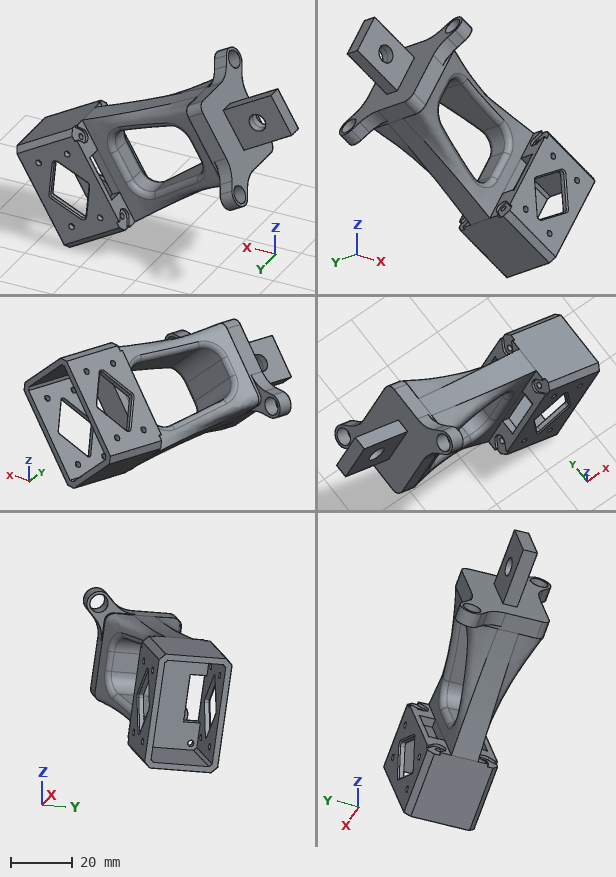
import cadquery as cq
import math

TILT = 30

TONGUE_LENGTH = 20.0
TONGUE_HEIGHT = 15.0
TONGUE_THICKNESS = 5.0
TONGUE_HOLE_DIAMETER = 6.0

PLATE_WIDTH = 25.75
PLATE_HEIGHT = 29.7
PLATE_CORNER_RADIUS = 3.0
PLATE_THICKNESS = 6.0
EAR_THICKNESS = 5.0
EAR_RADIUS = 4.0
EAR_HOLE_DIAMETER = 6.0
EAR_OFFSET_Y = 15.4
EAR_OFFSET_Z = 17.5
EAR_BLEND_RADIUS = 10.0

ARM_LENGTH = 45.0
RIDGE_WIDTH_START = 7.3
RIDGE_WIDTH_END = 9.4
ARM_SECTIONS = 6
FLANK_EXPONENT = 1.8
RIDGE_EXPONENT = 1.5
FLANK_STRAIGHT_SHARE = 0.9
ARM_END_SHOULDER_DROP = 2.9
ARM_END_FLANK_DROP = 6.7

OPENING_OFFSET = 5.3
OPENING_LENGTH = 33.8
OPENING_HEIGHT_START = 17.4
OPENING_HEIGHT_END = 24.3
OPENING_CORNER_RADIUS = 6.0
OPENING_RIM_RADIUS = 1.9

BOX_LENGTH = 24.1
BOX_WIDTH = 24.6
BOX_HEIGHT = 38.3
BOX_WALL = 2.0
BOX_FRONT_WALL = 3.0
BOX_CHAMFER = 2.0
CAVITY_CHAMFER = 1.0
WINDOW_HEIGHT = 15.9

SIDE_HOLE_DIAMETER = 2.0
SIDE_HOLE_SPACING_U = 12.0
SIDE_HOLE_SPACING_Z = 23.9
DIAMOND_LENGTH = 16.1
DIAMOND_HEIGHT = 22.6
DIAMOND_CORNER_RADIUS = 1.0
DIAMOND_CHAMFER = 0.5

SEAT_INSET = 4.2
SEAT_RADIUS = 2.3
SEAT_DEPTH = 1.0
SEAT_NOTCH = 3.9
SEAT_HOLE_DIAMETER = 2.0

PLATE_START = TONGUE_LENGTH
ARM_START = PLATE_START + PLATE_THICKNESS
BOX_START = ARM_START + ARM_LENGTH
BOX_CENTRE = BOX_START + BOX_LENGTH / 2
CAVITY_WIDTH = BOX_WIDTH - 2 * BOX_WALL
CAVITY_HEIGHT = BOX_HEIGHT - 2 * BOX_WALL
ARC_MIDDLE_INSET = 1 - math.sqrt(0.5)


def cross_plane(u):
    """Workplane across the length at u: local x is Y, local y is Z, normal is +U."""
    return cq.Workplane("YZ", origin=(u, 0, 0))


def side_plane(u):
    """Workplane on the mid-plane at u: local x is U, local y is Z, normal is -Y."""
    return cq.Workplane("XZ", origin=(u, 0, 0))


def make_tongue():
    """Flat tongue with a cross hole at its middle."""
    tongue = cq.Workplane("XY").box(
        TONGUE_LENGTH, TONGUE_THICKNESS, TONGUE_HEIGHT, centered=(False, True, True)
    )
    hole = side_plane(TONGUE_LENGTH / 2).circle(TONGUE_HOLE_DIAMETER / 2)
    return tongue.cut(hole.extrude(TONGUE_THICKNESS, both=True))


def make_plate():
    """Rounded plate with two drilled ears at opposite corners, slightly thinner than the plate."""
    pad = cross_plane(PLATE_START).rect(PLATE_WIDTH, PLATE_HEIGHT).extrude(PLATE_THICKNESS)
    pad = pad.edges("|X").fillet(PLATE_CORNER_RADIUS)

    flange = cross_plane(PLATE_START).rect(PLATE_WIDTH, PLATE_HEIGHT).extrude(EAR_THICKNESS)
    strip_length = EAR_OFFSET_Y * math.sqrt(2)
    for side in (1, -1):
        ear_plane = cross_plane(PLATE_START).center(side * EAR_OFFSET_Y, -side * EAR_OFFSET_Z)
        strip = (
            ear_plane.transformed(rotate=(0, 0, -45))
            .center(-side * strip_length / 2, 0)
            .rect(strip_length, 2 * EAR_RADIUS)
            .extrude(EAR_THICKNESS)
        )
        flange = flange.union(strip).union(ear_plane.circle(EAR_RADIUS).extrude(EAR_THICKNESS))

    strip_reach = EAR_RADIUS * math.sqrt(2)
    diagonal = EAR_OFFSET_Z - EAR_OFFSET_Y
    top_y = PLATE_HEIGHT / 2 - diagonal - strip_reach
    side_z = PLATE_WIDTH / 2 + diagonal - strip_reach
    mid_u = PLATE_START + EAR_THICKNESS / 2
    for side in (1, -1):
        for y, z in ((top_y, -PLATE_HEIGHT / 2), (PLATE_WIDTH / 2, -side_z)):
            edge = cq.selectors.NearestToPointSelector((mid_u, side * y, side * z))
            flange = flange.edges("|X").edges(edge).fillet(EAR_BLEND_RADIUS)

    for side in (1, -1):
        corner = (mid_u, side * PLATE_WIDTH / 2, side * PLATE_HEIGHT / 2)
        edge = cq.selectors.NearestToPointSelector(corner)
        flange = flange.edges("|X").edges(edge).fillet(PLATE_CORNER_RADIUS)

    holes = (
        cross_plane(PLATE_START)
        .pushPoints([(side * EAR_OFFSET_Y, -side * EAR_OFFSET_Z) for side in (1, -1)])
        .circle(EAR_HOLE_DIAMETER / 2)
        .extrude(EAR_THICKNESS)
    )
    return flange.union(pad).cut(holes)


def blend(start, end, fraction):
    """Value at a fraction of the way from start to end."""
    return start + (end - start) * fraction


def arm_section(t):
    """Arm section at fraction t of the arm: flat ridges joined by curved flanks."""
    ridge_y = blend(RIDGE_WIDTH_START, RIDGE_WIDTH_END, t) / 2
    ridge_z = blend(PLATE_HEIGHT, BOX_HEIGHT, t ** RIDGE_EXPONENT) / 2
    narrowing = 1 - (1 - t) ** FLANK_EXPONENT
    flank_y = blend(PLATE_WIDTH, RIDGE_WIDTH_END, narrowing) / 2
    flank_z = ridge_z - blend(PLATE_CORNER_RADIUS, ARM_END_FLANK_DROP, t)
    shoulder_y = blend(PLATE_WIDTH / 2 - PLATE_CORNER_RADIUS, RIDGE_WIDTH_END / 2, narrowing)
    shoulder_z = ridge_z - blend(0, ARM_END_SHOULDER_DROP, t)
    upper_flank = [
        ((ridge_y + shoulder_y) / 2, (ridge_z + shoulder_z) / 2),
        (shoulder_y, shoulder_z),
        (
            blend(flank_y, shoulder_y, ARC_MIDDLE_INSET),
            blend(shoulder_z, flank_z, ARC_MIDDLE_INSET),
        ),
        (flank_y, flank_z),
        (flank_y, FLANK_STRAIGHT_SHARE * flank_z),
        (flank_y, flank_z / 2),
    ]
    lower_flank = [(y, -z) for y, z in reversed(upper_flank)]
    flank = upper_flank + [(flank_y, 0)] + lower_flank
    return (
        cross_plane(ARM_START + t * ARM_LENGTH)
        .moveTo(-ridge_y, ridge_z)
        .lineTo(ridge_y, ridge_z)
        .spline(flank + [(ridge_y, -ridge_z)], includeCurrent=True)
        .lineTo(-ridge_y, -ridge_z)
        .spline([(-y, z) for y, z in reversed(flank)] + [(-ridge_y, ridge_z)], includeCurrent=True)
        .wire()
        .val()
    )


def make_arm():
    """Tapering arm with a trapezoidal opening whose rims are rounded."""
    stations = [index / (ARM_SECTIONS - 1) for index in range(ARM_SECTIONS)]
    arm = cq.Workplane(cq.Solid.makeLoft([arm_section(t) for t in stations]))

    start = OPENING_OFFSET
    end = start + OPENING_LENGTH
    opening = (
        side_plane(ARM_START)
        .moveTo(start, -OPENING_HEIGHT_START / 2)
        .lineTo(end, -OPENING_HEIGHT_END / 2)
        .lineTo(end, OPENING_HEIGHT_END / 2)
        .lineTo(start, OPENING_HEIGHT_START / 2)
        .close()
        .extrude(PLATE_WIDTH, both=True)
        .edges("|Y")
        .fillet(OPENING_CORNER_RADIUS)
    )
    pierced = arm.cut(opening)
    rim_margin = start / 2
    rim_zone = cq.selectors.BoxSelector(
        (ARM_START + rim_margin, -PLATE_WIDTH, -OPENING_HEIGHT_END / 2),
        (BOX_START - rim_margin, PLATE_WIDTH, OPENING_HEIGHT_END / 2),
    )
    corner_lines = cq.selectors.ParallelDirSelector(cq.Vector(0, 1, 0))
    return pierced.edges(rim_zone - corner_lines).fillet(OPENING_RIM_RADIUS)


def make_box():
    """Chamfered box, open at the far end, with its windows, holes and screw seats."""
    box = cross_plane(BOX_START).rect(BOX_WIDTH, BOX_HEIGHT).extrude(BOX_LENGTH)
    box = box.edges("|X").chamfer(BOX_CHAMFER)
    cavity = (
        cross_plane(BOX_START + BOX_FRONT_WALL)
        .rect(CAVITY_WIDTH, CAVITY_HEIGHT)
        .extrude(BOX_LENGTH)
        .edges("|X")
        .chamfer(CAVITY_CHAMFER)
    )
    box = box.cut(cavity).cut(make_windows()).cut(make_screw_seats())
    box = box.cut(make_side_holes()).cut(make_diamond())
    for side in (1, -1):
        rim_point = (BOX_CENTRE + DIAMOND_LENGTH / 4, side * BOX_WIDTH / 2, DIAMOND_HEIGHT / 4)
        box = box.edges(cq.selectors.NearestToPointSelector(rim_point)).chamfer(DIAMOND_CHAMFER)
    return box


def make_windows():
    """Two windows in the front wall, one on each side of the arm."""
    window_width = (CAVITY_WIDTH - RIDGE_WIDTH_END) / 2
    window_y = (CAVITY_WIDTH + RIDGE_WIDTH_END) / 4
    return (
        cross_plane(BOX_START)
        .pushPoints([(window_y, 0), (-window_y, 0)])
        .rect(window_width, WINDOW_HEIGHT)
        .extrude(BOX_FRONT_WALL)
    )


def make_side_holes():
    """Four pin holes through both side walls."""
    return (
        side_plane(BOX_CENTRE)
        .rarray(SIDE_HOLE_SPACING_U, SIDE_HOLE_SPACING_Z, 2, 2)
        .circle(SIDE_HOLE_DIAMETER / 2)
        .extrude(BOX_WIDTH, both=True)
    )


def make_diamond():
    """Round-cornered diamond through both side walls."""
    return (
        side_plane(BOX_CENTRE)
        .moveTo(-DIAMOND_LENGTH / 2, 0)
        .lineTo(0, DIAMOND_HEIGHT / 2)
        .lineTo(DIAMOND_LENGTH / 2, 0)
        .lineTo(0, -DIAMOND_HEIGHT / 2)
        .close()
        .extrude(BOX_WIDTH, both=True)
        .edges("|Y")
        .fillet(DIAMOND_CORNER_RADIUS)
    )


def make_screw_seats():
    """Shallow seats running diagonally from each screw hole out to its box corner."""
    seat_y = BOX_WIDTH / 2 - SEAT_INSET
    seat_z = BOX_HEIGHT / 2 - SEAT_INSET
    strip_length = SEAT_INSET * math.sqrt(2)
    hole_centre = cross_plane(BOX_START).center(seat_y, seat_z)
    strip = (
        hole_centre.transformed(rotate=(0, 0, 45))
        .center(strip_length / 2, 0)
        .rect(strip_length, 2 * SEAT_RADIUS)
        .extrude(SEAT_DEPTH)
    )
    notch = (
        cross_plane(BOX_START)
        .center(BOX_WIDTH / 2, BOX_HEIGHT / 2)
        .rect(2 * SEAT_NOTCH, 2 * SEAT_NOTCH)
        .extrude(SEAT_DEPTH)
    )
    seat = (
        hole_centre.circle(SEAT_RADIUS)
        .extrude(SEAT_DEPTH)
        .union(strip)
        .union(notch)
        .union(hole_centre.circle(SEAT_HOLE_DIAMETER / 2).extrude(BOX_FRONT_WALL))
    )
    upper_pair = seat.union(seat.mirror("XZ"))
    return upper_pair.union(upper_pair.mirror("XY"))


level_part = make_tongue().union(make_plate()).union(make_arm()).union(make_box())
result = level_part.rotate((0, 0, 0), (0, 1, 0), TILT)